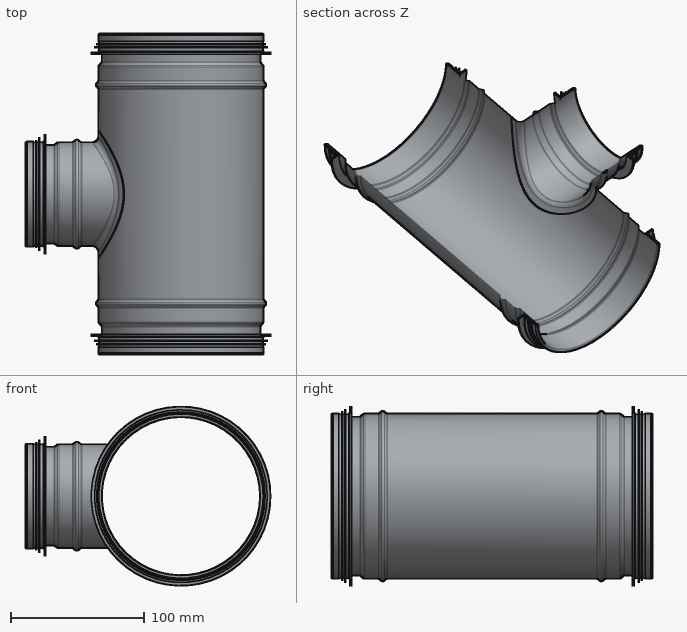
import cadquery as cq
import math

MAIN_LENGTH = 241.0
BRANCH_REACH = 116.6
SHEET = 0.5

MAIN_TUBE_D = 124.0
MAIN_NECK_D = 119.3
MAIN_SEAL_BORE = 120.5
MAIN_LIP_DIAMETERS = (126.3, 129.5, 134.5)
BRANCH_TUBE_D = 78.0
BRANCH_NECK_D = 74.2
BRANCH_SEAL_BORE = 75.5
BRANCH_LIP_DIAMETERS = (80.0, 84.4, 89.5)

HEM_HEIGHT = 3.0
HEM_LENGTH = 5.8
NECK_END = 21.5
NECK_STEP_LENGTH = 3.0
BEAD_CENTRE = 38.5
BEAD_HALF_WIDTH = 3.1
BEAD_PEAK = 2.5
BEAD_END_MARGIN = 0.5
SHARP_BEND = 0.7
WIDE_BEND = 1.7

SMALL_LIP = (7.7, 8.5)
MIDDLE_LIP = (10.1, 10.8)
FLANGE = (14.0, 15.5)
FLANGE_SHOULDER = 0.7

SADDLE_FILLET = 4.3
COLLAR_HALF_LENGTH = 48.0
COLLAR_HALF_HEIGHT = 44.5

MAIN_R = MAIN_TUBE_D / 2
BRANCH_R = BRANCH_TUBE_D / 2
HEM_R = HEM_HEIGHT / 2
BRANCH_SPIGOT_LENGTH = BEAD_CENTRE + BEAD_HALF_WIDTH + BEAD_END_MARGIN


def line_with_bends(sketch, corners):
    """Draw lines through (radius, axial, bend radius) corners, rounding each with a tangent arc."""
    for before, corner, after in zip(corners, corners[1:], corners[2:]):
        here = cq.Vector(*corner[:2])
        back = (cq.Vector(*before[:2]) - here).normalized()
        ahead = (cq.Vector(*after[:2]) - here).normalized()
        half_angle = back.getAngle(ahead) / 2
        bend = corner[2]
        tangent_length = bend / math.tan(half_angle)
        apex_gap = bend / math.sin(half_angle) - bend
        start = here + back * tangent_length
        middle = here + (back + ahead).normalized() * apex_gap
        end = here + ahead * tangent_length
        sketch = sketch.lineTo(start.x, start.y)
        sketch = sketch.threePointArc((middle.x, middle.y), (end.x, end.y))
    return sketch.lineTo(*corners[-1][:2])


def spigot_corners(neck_r, tube_r, length, has_bead):
    """One sheet surface from the hem to the plain tube: neck, widening step and, if any, bead."""
    bead = [
        (tube_r, BEAD_CENTRE - BEAD_HALF_WIDTH, SHARP_BEND),
        (tube_r + BEAD_PEAK, BEAD_CENTRE, WIDE_BEND),
        (tube_r, BEAD_CENTRE + BEAD_HALF_WIDTH, SHARP_BEND),
    ]
    return [
        (neck_r, HEM_R, 0),
        (neck_r, NECK_END, SHARP_BEND),
        (tube_r, NECK_END + NECK_STEP_LENGTH, WIDE_BEND),
        *(bead if has_bead else []),
        (tube_r, length, 0),
    ]


def spigot(neck_d, tube_d, length, hollow_bead):
    """Sheet tube end about Z, with its open, hemmed end at Z = 0 and a hollow or solid bead."""
    neck_r = neck_d / 2
    tube_r = tube_d / 2
    bore_r = neck_r - SHEET
    hem_outer_r = bore_r + HEM_HEIGHT
    hem_inner_r = hem_outer_r - SHEET
    hem_middle_r = bore_r + HEM_R
    outside = spigot_corners(neck_r, tube_r, length, True)
    inside = spigot_corners(bore_r, tube_r - SHEET, length, hollow_bead)

    section = cq.Workplane("XZ").moveTo(neck_r, HEM_R)
    section = line_with_bends(section, outside)
    section = section.lineTo(tube_r - SHEET, length)
    section = line_with_bends(section, inside[::-1])
    section = (
        section
        .threePointArc((hem_middle_r, 0), (hem_outer_r, HEM_R))
        .lineTo(hem_outer_r, HEM_LENGTH)
        .lineTo(hem_inner_r, HEM_LENGTH)
        .lineTo(hem_inner_r, HEM_R)
        .threePointArc((hem_middle_r, SHEET), (neck_r, HEM_R))
        .close()
    )
    return section.revolve(360, (0, 0, 0), (0, 1, 0))


def seal(neck_d, bore_d, lip_diameters):
    """Rubber seal about Z, held under the hem, with two lips and an end flange."""
    inner_r = bore_d / 2
    base_r = neck_d / 2 + HEM_HEIGHT - 2 * SHEET
    small_r, middle_r, flange_r = [d / 2 for d in lip_diameters]
    shoulder_r = base_r + SHEET
    shoulder_start = FLANGE[0] - FLANGE_SHOULDER
    section = (
        cq.Workplane("XZ")
        .moveTo(inner_r, HEM_R)
        .lineTo(base_r, HEM_R)
    )
    for lip_r, (lip_start, lip_end) in ((small_r, SMALL_LIP), (middle_r, MIDDLE_LIP)):
        section = (
            section
            .lineTo(base_r, lip_start)
            .lineTo(lip_r, lip_start)
            .lineTo(lip_r, lip_end)
            .lineTo(base_r, lip_end)
        )
    section = (
        section
        .lineTo(base_r, shoulder_start)
        .lineTo(shoulder_r, shoulder_start)
        .lineTo(shoulder_r, FLANGE[0])
        .lineTo(flange_r, FLANGE[0])
        .lineTo(flange_r, FLANGE[1])
        .lineTo(inner_r, FLANGE[1])
        .close()
    )
    return section.revolve(360, (0, 0, 0), (0, 1, 0))


def at_main_end(body, side):
    """Move a body from the Z axis to the main tube's end at -Y (side -1) or +Y (side 1)."""
    placed = body.rotate((0, 0, 0), (1, 0, 0), -90).translate((0, -MAIN_LENGTH / 2, 0))
    return placed if side < 0 else placed.mirror("XZ")


def at_branch_end(body):
    """Move a body from the Z axis to the open end of the branch, at -X."""
    return body.rotate((0, 0, 0), (0, 1, 0), 90).translate((-BRANCH_REACH, 0, 0))


def collar_zone():
    """Elliptical block in X < 0 that reaches past the main tube and bounds the saddle collar."""
    return cq.Workplane("YZ").ellipse(COLLAR_HALF_LENGTH, COLLAR_HALF_HEIGHT).extrude(-BRANCH_REACH)


def filleted_tee(main_r, branch_r, fillet_r):
    """Solid main cylinder with a branch cylinder along -X, rounded where they meet."""
    branch_length = BRANCH_REACH - BRANCH_SPIGOT_LENGTH
    main = cq.Workplane("XZ").circle(main_r).extrude(MAIN_LENGTH / 2, both=True)
    branch = cq.Workplane("YZ").circle(branch_r).extrude(-branch_length)
    tee = main.union(branch)
    junction = [e for e in tee.edges().vals() if e.geomType() not in ("LINE", "CIRCLE")]
    return tee.newObject(junction).fillet(fillet_r)


def make_main_pipe():
    """Main tube with a spigot at each end and an opening for the saddle collar."""
    half = spigot(MAIN_NECK_D, MAIN_TUBE_D, MAIN_LENGTH / 2, hollow_bead=True)
    pipe = at_main_end(half, -1).union(at_main_end(half, 1))
    return pipe.cut(collar_zone())


def make_saddle():
    """Curved collar with the branch drawn out of it and ending in a spigot."""
    outside = filleted_tee(MAIN_R, BRANCH_R, SADDLE_FILLET)
    inside = filleted_tee(MAIN_R - SHEET, BRANCH_R - SHEET, SADDLE_FILLET + SHEET)
    collar = outside.cut(inside).intersect(collar_zone())
    branch_end = spigot(BRANCH_NECK_D, BRANCH_TUBE_D, BRANCH_SPIGOT_LENGTH, hollow_bead=False)
    return collar.union(at_branch_end(branch_end))


main_pipe = make_main_pipe()
saddle = make_saddle()
main_seals = [at_main_end(seal(MAIN_NECK_D, MAIN_SEAL_BORE, MAIN_LIP_DIAMETERS), side) for side in (-1, 1)]
branch_seal = at_branch_end(seal(BRANCH_NECK_D, BRANCH_SEAL_BORE, BRANCH_LIP_DIAMETERS))

result = cq.Compound.makeCompound([
    main_pipe.solids().val(),
    saddle.solids().val(),
    *[main_seal.val() for main_seal in main_seals],
    branch_seal.val(),
])